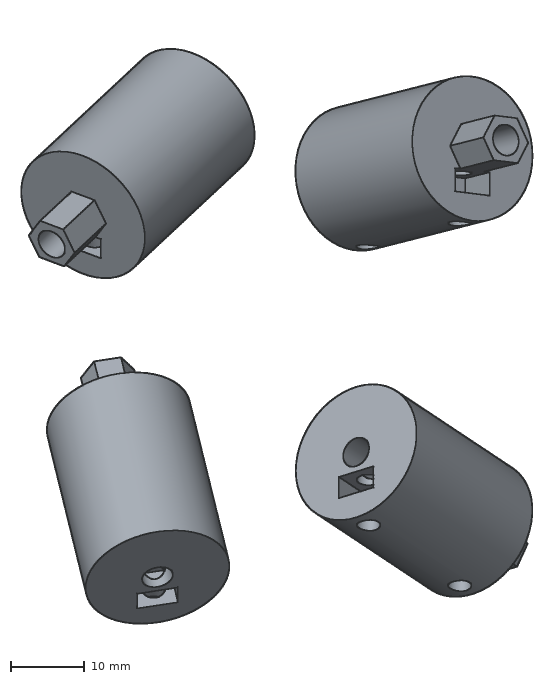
import cadquery as cq

total_length = 36.0
stub_length = 8.0
body_length = total_length - stub_length
body_diameter = 20.0
hex_across_corners = 7.45
bore_diameter = 4.3

pocket_width = 5.7
pocket_height = 3.25
pocket_top_z = -3.0
screw_diameter = 3.2
screw_inset = 3.0
pocket_depth = screw_inset + pocket_width / 2

stub_end_y = -total_length / 2
body_front_y = stub_end_y + stub_length
body_back_y = total_length / 2


def end_plane(y):
    """Sketch plane at the given Y, extruding toward +Y."""
    plane = cq.Plane(origin=(0, y, 0), xDir=(1, 0, 0), normal=(0, 1, 0))
    return cq.Workplane(plane)


def pocket(start_y, length):
    """Rectangular pocket that also trims the underside of the stub."""
    return (
        cq.Workplane("XY", origin=(0, start_y, pocket_top_z - pocket_height))
        .box(pocket_width, length, pocket_height, centered=(True, False, False))
    )


def screw_hole(y):
    """Radial hole from the underside of the body up into the bore."""
    return (
        cq.Workplane("XY", origin=(0, y, -body_diameter / 2))
        .circle(screw_diameter / 2)
        .extrude(body_diameter / 2)
    )


body = end_plane(body_front_y).circle(body_diameter / 2).extrude(body_length)
stub = end_plane(stub_end_y).polygon(6, hex_across_corners).extrude(stub_length)
bore = end_plane(stub_end_y).circle(bore_diameter / 2).extrude(total_length)

result = body.union(stub).cut(bore)
result = result.cut(pocket(stub_end_y, stub_length + pocket_depth))
result = result.cut(pocket(body_back_y - pocket_depth, pocket_depth))
for screw_y in (body_front_y + screw_inset, body_back_y - screw_inset):
    result = result.cut(screw_hole(screw_y))